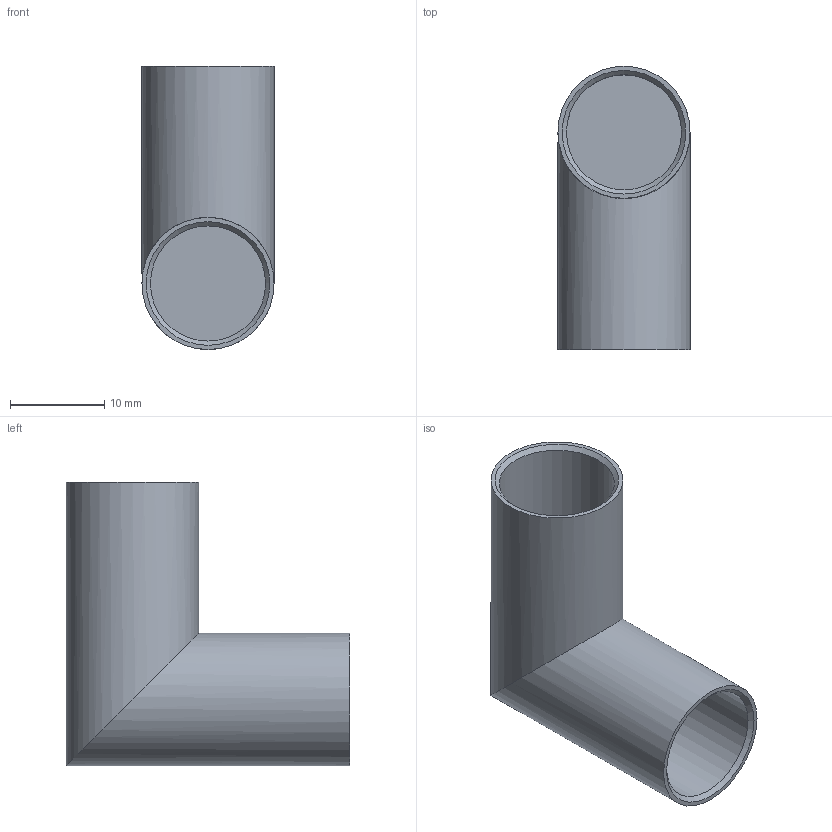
import cadquery as cq

outer_diameter = 14.0
overall_length = 30.0
bore_diameter = 12.2
mouth_diameter = 13.1
mouth_depth = (mouth_diameter - bore_diameter) / 2

outer_radius = outer_diameter / 2
leg_length = overall_length - outer_radius
bore_depth = overall_length - outer_diameter


def end_plane(direction):
    """Plane on the open end of a leg, with its normal pointing out of the leg."""
    center = cq.Vector(*direction) * leg_length
    return cq.Plane(origin=center, xDir=(1, 0, 0), normal=direction)


def section_plane(direction):
    """Plane through a leg's axis: local x across the leg, local y pointing out of it."""
    end = end_plane(direction)
    return cq.Plane(origin=end.origin, xDir=end.xDir, normal=end.xDir.cross(end.zDir))


def leg(direction):
    """Solid cylinder running from the open end to the outer corner."""
    return cq.Workplane(end_plane(direction)).circle(outer_radius).extrude(-overall_length)


def miter_half_space():
    """Prism holding everything above the 45 degree miter plane z = -y."""
    reach = 2 * overall_length
    corners = [(-reach, reach), (reach, -reach), (reach, reach)]
    return cq.Workplane("YZ").polyline(corners).close().extrude(outer_diameter, both=True)


def socket(direction):
    """Revolved cutter: blind flat-bottomed bore with a conical lead-in at the open end."""
    bore_radius = bore_diameter / 2
    return (
        cq.Workplane(section_plane(direction))
        .lineTo(mouth_diameter / 2, 0)
        .lineTo(bore_radius, -mouth_depth)
        .lineTo(bore_radius, -bore_depth)
        .lineTo(0, -bore_depth)
        .close()
        .revolve(360, (0, 0), (0, 1))
    )


up = (0, 0, 1)
forward = (0, -1, 0)
upper_side = miter_half_space()
result = leg(up).intersect(upper_side).union(leg(forward).cut(upper_side))
for leg_direction in (up, forward):
    result = result.cut(socket(leg_direction))